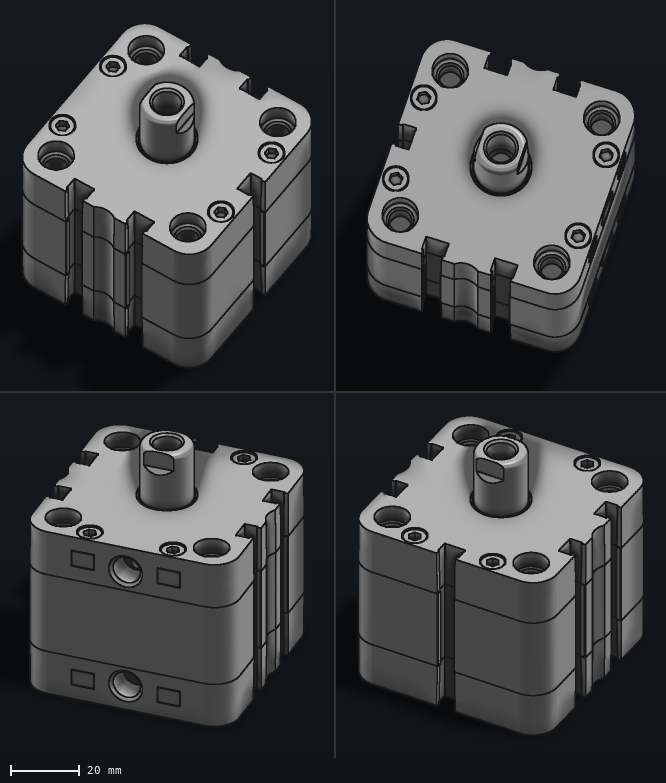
import cadquery as cq
import math


total_height = 73.0
cap_height = 14.45
barrel_height = 26.1
barrel_top = cap_height + barrel_height
body_top = barrel_top + cap_height

body_width = 65.5
half_width = body_width / 2
corner_radius = 8.0
cap_draft = 0.5

slot_offset = 10.6
slot_depth = 5.4
slot_mouth_width = 5.85
slot_inner_width = 6.7
slot_lip_depth = 1.6
barrel_lip = 0.3

groove_width = 7.15
groove_depth = 1.2
groove_radius = (groove_width**2 / 4 + groove_depth**2) / (2 * groove_depth)

overshoot = 0.7

port_inset = 8.0
port_diameter = 8.55
port_mouth_diameter = 10.5
port_depth = 8.75
feed_diameter = 3.5
feed_drop = 2.05
feed_depth = 14.6

label_offset = 13.5
label_inset = 7.3
label_length = 7.0
label_height = 5.1
label_depth = 0.3

mount_offset = 23.3
mount_bore_diameter = 10.5
mount_bore_depth = 5.05
mount_mouth_diameter = 8.0
mount_diameter = 6.65
mount_depth = 11.7

screw_x = 28.0
screw_y = 13.1
screw_recess_diameter = 7.7
screw_top_diameter = 7.0
screw_sink = 0.4
screw_edge_height = (screw_recess_diameter - screw_top_diameter) / 2
socket_across_flats = 3.5
socket_depth = 2.55

rod_diameter = 16.0
rod_fillet = 1.7
flat_width = 13.0
flat_length = 5.3
thread_diameter = 8.55
thread_mouth_diameter = 10.0
thread_depth = 14.6
thread_tip_diameter = 6.65
opening_mouth_diameter = 18.0
opening_diameter = 17.7
opening_depth = 0.3
wiper_diameter = 16.6
wiper_depth = 0.6


def turned(points):
    """Solid of revolution about Z from (radius, z) points; the axis closes the outline."""
    return cq.Workplane("XZ").polyline(points).close().revolve(360, (0, 0), (0, 1))


def slot_cutter(height, draft, lip_inset):
    """T slot that opens through the -Y side, centred on X = 0; an inset narrows its neck."""
    face = -half_width
    lip = face + slot_lip_depth
    floor = face + slot_depth
    mouth = slot_mouth_width / 2
    neck = mouth - lip_inset
    inner = slot_inner_width / 2
    right_side = [(mouth, face - overshoot)]
    if lip_inset > 0:
        right_side += [(mouth, face), (neck, face + lip_inset)]
    right_side += [(neck, lip), (inner, lip), (inner, floor)]
    left_side = [(-x, y) for x, y in reversed(right_side)]
    return cq.Workplane("XY").polyline(right_side + left_side).close().extrude(height, taper=-draft)


def section(height, draft, lip_inset):
    """Slotted square section standing on Z = 0, shrinking upwards by the draft angle."""
    outline = cq.Sketch().rect(body_width, body_width).vertices().fillet(corner_radius)
    block = cq.Workplane("XY").placeSketch(outline).extrude(height, taper=draft)

    slot = slot_cutter(height, draft, lip_inset)
    groove_centre = -half_width + groove_depth - groove_radius
    groove = (
        cq.Workplane("XY").center(0, groove_centre).circle(groove_radius).extrude(height, taper=-draft)
    )
    for side_angle in (0, 180):
        for x in (-slot_offset, slot_offset):
            block = block.cut(slot.translate((x, 0, 0)).rotate((0, 0, 0), (0, 0, 1), side_angle))
        block = block.cut(groove.rotate((0, 0, 0), (0, 0, 1), side_angle))
    return block.cut(slot.rotate((0, 0, 0), (0, 0, 1), 90))


def port_cutter():
    """Air port along +X from the -X side at Z = 0, with a chamfered mouth."""
    bore = port_diameter / 2
    mouth = port_mouth_diameter / 2
    tool = turned([
        (0, -overshoot),
        (mouth, -overshoot),
        (mouth, 0),
        (bore, mouth - bore),
        (bore, port_depth),
        (0, port_depth),
    ])
    return tool.rotate((0, 0, 0), (0, 1, 0), 90)


def blank_cap():
    """Cap standing on Z = 0 with its barrel side down, with air port and label recesses."""
    cap = section(cap_height, cap_draft, 0)
    draft_slope = math.tan(math.radians(cap_draft))
    port_height = cap_height - port_inset
    port_face = -half_width + port_height * draft_slope
    cap = cap.cut(port_cutter().translate((port_face, 0, port_height)))

    label_z = cap_height - label_inset
    label_face = -half_width + label_z * draft_slope
    label = cq.Workplane("XY").box(2 * label_depth, label_length, label_height)
    label = label.rotate((0, 0, 0), (0, 1, 0), cap_draft)
    for y in (-label_offset, label_offset):
        cap = cap.cut(label.translate((label_face, y, label_z)))
    return cap


def mounting_hole_cutter():
    """Counterbored hole with a chamfered mouth, going down from Z = 0."""
    bore = mount_bore_diameter / 2
    mouth = mount_mouth_diameter / 2
    hole = mount_diameter / 2
    return turned([
        (0, 0),
        (bore, 0),
        (bore, -mount_bore_depth),
        (mouth, -mount_bore_depth),
        (hole, -mount_bore_depth - (mouth - hole)),
        (hole, -mount_depth),
        (0, -mount_depth),
    ])


def screw_head_cutter():
    """Space above a sunk, chamfered screw head plus its hexagon socket, going down from Z = 0."""
    recess = screw_recess_diameter / 2
    space = turned([
        (0, 0),
        (recess, 0),
        (recess, -screw_sink - screw_edge_height),
        (screw_top_diameter / 2, -screw_sink),
        (0, -screw_sink),
    ])
    across_corners = socket_across_flats / math.cos(math.radians(30))
    socket = cq.Workplane("XY").polygon(6, across_corners).extrude(-screw_sink - socket_depth)
    return space.union(socket.rotate((0, 0, 0), (0, 0, 1), 30))


def rod_opening_cutter():
    """Passage for the rod through the top cap, with a stepped mouth at Z = 0."""
    mouth = opening_mouth_diameter / 2
    opening = opening_diameter / 2
    wiper = wiper_diameter / 2
    rod = rod_diameter / 2
    return turned([
        (0, 0),
        (mouth, 0),
        (opening, -(mouth - opening)),
        (opening, -opening_depth),
        (wiper, -opening_depth),
        (wiper, -wiper_depth),
        (rod, -wiper_depth),
        (rod, -cap_height),
        (0, -cap_height),
    ])


def make_bottom_cap():
    """Blank cap turned over so that its wide side meets the barrel."""
    return blank_cap().mirror("XY").translate((0, 0, cap_height))


def make_barrel():
    return section(barrel_height, 0, barrel_lip).translate((0, 0, cap_height))


def make_top_cap():
    cap = blank_cap().translate((0, 0, barrel_top))

    feed = cq.Workplane("YZ").circle(feed_diameter / 2).extrude(feed_depth)
    cap = cap.cut(feed.translate((-half_width, 0, body_top - port_inset - feed_drop)))

    for sign_x in (-1, 1):
        for sign_y in (-1, 1):
            mount_place = (sign_x * mount_offset, sign_y * mount_offset, body_top)
            screw_place = (sign_x * screw_x, sign_y * screw_y, body_top)
            cap = cap.cut(mounting_hole_cutter().translate(mount_place))
            cap = cap.cut(screw_head_cutter().translate(screw_place))
    return cap.cut(rod_opening_cutter().translate((0, 0, body_top)))


def flat_cutter():
    """Wrench flat on the +X side of the rod tip, ending in a 45 degree run-out."""
    flat = flat_width / 2
    reach = rod_diameter / 2 + overshoot
    flat_end = total_height - flat_length
    points = [
        (flat, total_height),
        (flat, flat_end),
        (reach, flat_end - (reach - flat)),
        (reach, total_height),
    ]
    return cq.Workplane("XZ").polyline(points).close().extrude(rod_diameter / 2, both=True)


def thread_cutter():
    """Threaded hole in the rod end with chamfered mouth and tapered end, going down from Z = 0."""
    mouth = thread_mouth_diameter / 2
    bore = thread_diameter / 2
    tip = thread_tip_diameter / 2
    return turned([
        (0, 0),
        (mouth, 0),
        (bore, -(mouth - bore)),
        (bore, -thread_depth),
        (tip, -thread_depth - (bore - tip)),
        (0, -thread_depth - (bore - tip)),
    ])


def make_rod():
    rod = cq.Workplane("XY").circle(rod_diameter / 2).extrude(total_height - barrel_top)
    rod = rod.faces(">Z").edges().fillet(rod_fillet).translate((0, 0, barrel_top))
    for side_angle in (0, 180):
        rod = rod.cut(flat_cutter().rotate((0, 0, 0), (0, 0, 1), side_angle))
    return rod.cut(thread_cutter().translate((0, 0, total_height)))


bottom_cap = make_bottom_cap()
barrel = make_barrel()
top_cap = make_top_cap()
rod = make_rod()

result = cq.Compound.makeCompound([bottom_cap.val(), barrel.val(), top_cap.val(), rod.val()])